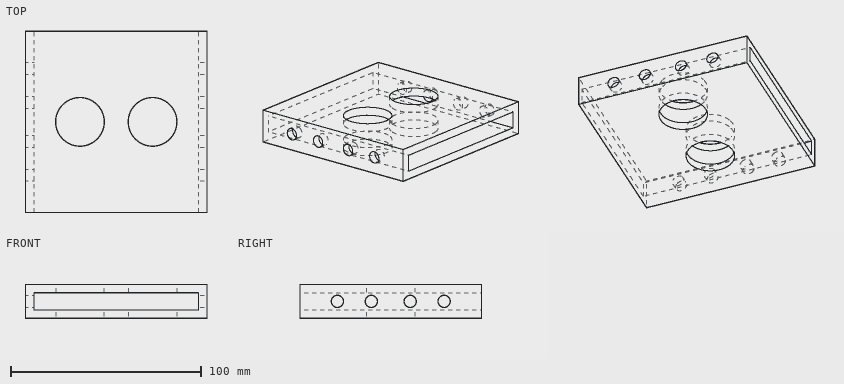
import cadquery as cq

side = 95.25
height = 17.8
wall = 4.5

opening_diameter = 25.4
opening_spacing = 38.1

cross_hole_diameter = 6.3
inner_hole_offset = 10.2
outer_hole_offset = 28.0
cross_hole_positions = [
    (sign * offset, 0)
    for offset in (inner_hole_offset, outer_hole_offset)
    for sign in (-1, 1)
]

tube = cq.Workplane("XY").box(side, side, height)
channel = cq.Workplane("XY").box(side - 2 * wall, side, height - 2 * wall)

openings = (
    cq.Workplane("XY")
    .rarray(opening_spacing, 1, 2, 1)
    .circle(opening_diameter / 2)
    .extrude(height / 2, both=True)
)

cross_holes = (
    cq.Workplane("YZ")
    .pushPoints(cross_hole_positions)
    .circle(cross_hole_diameter / 2)
    .extrude(side / 2, both=True)
)

result = tube.cut(channel).cut(openings).cut(cross_holes)